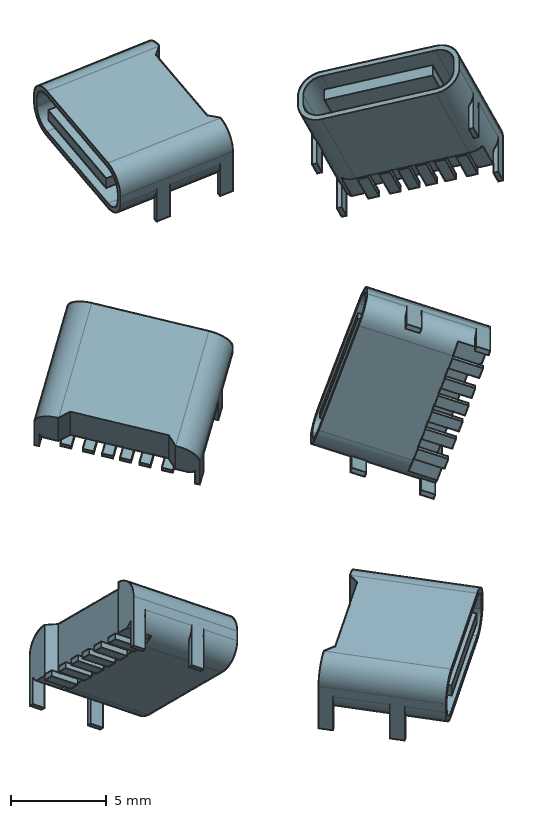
import cadquery as cq

shell_width = 8.94
shell_height = 3.2
shell_depth = 6.8
corner_radius = 1.31
wall = 0.3

notch_depth = 0.5
notch_rear_width = shell_width - 2 * corner_radius
notch_front_width = notch_rear_width - 2 * notch_depth

tongue_width = 6.0
tongue_height = 0.7

pin_width = 0.6
pin_thickness = 0.34
pin_drop = 0.1
pin_overhang = 0.1
pin_length = 1.69
pin_offsets = (0.48, 1.53, 2.74)
pin_front = shell_depth + pin_overhang - pin_length

overall_height = 4.2
leg_thickness = 0.27
rear_leg_width = 0.78
middle_leg_width = 0.805
middle_leg_front = 2.19

shell_bottom = -shell_height / 2
pin_bottom = shell_bottom - pin_drop
pin_top = pin_bottom + pin_thickness
leg_bottom = shell_height / 2 - overall_height


def box_between(x_range, y_range, z_range):
    """Box spanning the given (low, high) ranges."""
    sizes = [high - low for low, high in (x_range, y_range, z_range)]
    corner = (x_range[0], y_range[0], z_range[0])
    return cq.Workplane("XY").box(*sizes, centered=False).translate(corner)


def rounded_bar(inset, front, rear):
    """Bar along Y whose section is the shell outline moved inward by inset."""
    width = shell_width - 2 * inset
    height = shell_height - 2 * inset
    bar = cq.Workplane("XY").box(width, rear - front, height, centered=(True, False, True))
    return bar.edges("|Y").fillet(corner_radius - inset).translate((0, front, 0))


def make_notch():
    """Tapered cutter passing through the full height at the rear."""
    notch_floor = shell_depth - notch_depth
    return (
        cq.Workplane("XY", origin=(0, 0, shell_bottom))
        .moveTo(-notch_rear_width / 2, shell_depth)
        .lineTo(-notch_front_width / 2, notch_floor)
        .lineTo(notch_front_width / 2, notch_floor)
        .lineTo(notch_rear_width / 2, shell_depth)
        .close()
        .extrude(shell_height)
    )


def make_leg(front, width):
    """Leg hanging from the left side wall, starting at mid height."""
    outer = -shell_width / 2
    return box_between((outer, outer + leg_thickness), (front, front + width), (leg_bottom, 0))


def make_pin(x_centre):
    left = x_centre - pin_width / 2
    return box_between(
        (left, left + pin_width),
        (pin_front, pin_front + pin_length),
        (pin_bottom, pin_top),
    )


body = rounded_bar(0, 0, shell_depth).cut(rounded_bar(wall, 0, pin_front))
tongue = box_between(
    (-tongue_width / 2, tongue_width / 2),
    (0, pin_front),
    (-tongue_height / 2, tongue_height / 2),
)
pin_relief = box_between(
    (-shell_width / 2, shell_width / 2),
    (pin_front, shell_depth),
    (shell_bottom, pin_top),
)
result = body.union(tongue).cut(make_notch()).cut(pin_relief)

for leg_front, leg_width in (
    (middle_leg_front, middle_leg_width),
    (shell_depth - rear_leg_width, rear_leg_width),
):
    leg = make_leg(leg_front, leg_width)
    result = result.union(leg).union(leg.mirror("YZ"))

for offset in pin_offsets:
    for side in (-1, 1):
        result = result.union(make_pin(side * offset))